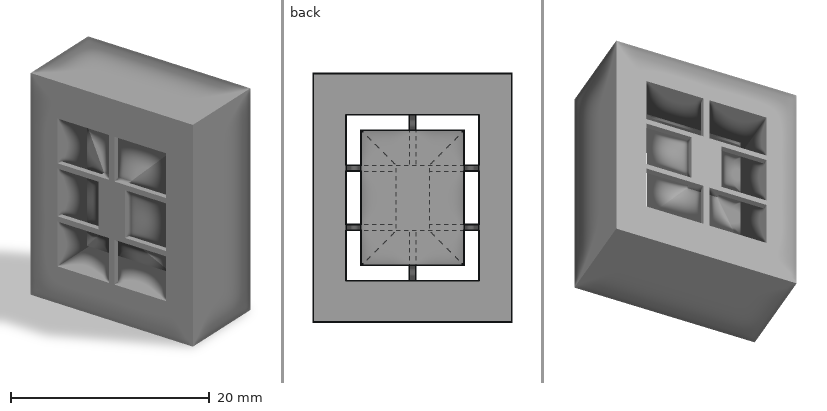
import cadquery as cq

width = 20.0
depth = 10.0
height = 25.0
front_y = -depth / 2

window_width = 2 * width / 3
window_height = 2 * height / 3

bar_thickness = 0.6
plate_thickness = 1.0
upright_width = 0.68
rail_width = 0.6
plate_width = 3.32
plate_height = 6.58

frustum_depth = 2.0
frustum_flare = 3.52


def front_bar(bar_width, thickness, bar_height, z=0.0):
    """Bar of the grille, centred on X, reaching back from the front face."""
    bar = cq.Workplane("XY").box(bar_width, thickness, bar_height)
    return bar.translate((0, front_y + thickness / 2, z))


def make_frame():
    block = cq.Workplane("XY").box(width, depth, height)
    window = cq.Workplane("XY").box(window_width, depth, window_height)
    return block.cut(window)


def make_grille():
    grille = front_bar(plate_width, plate_thickness, plate_height)
    grille = grille.union(front_bar(upright_width, bar_thickness, window_height))
    rail_z = (plate_height - rail_width) / 2
    for z in (-rail_z, rail_z):
        grille = grille.union(front_bar(window_width, bar_thickness, rail_width, z))
    return grille


def make_frustum():
    base_width = plate_width + 2 * frustum_flare
    base_height = plate_height + 2 * frustum_flare
    return (
        cq.Workplane("XZ", origin=(0, front_y + plate_thickness, 0))
        .rect(plate_width, plate_height)
        .workplane(offset=-frustum_depth)
        .rect(base_width, base_height)
        .loft(ruled=True)
    )


result = make_frame().union(make_grille()).union(make_frustum())